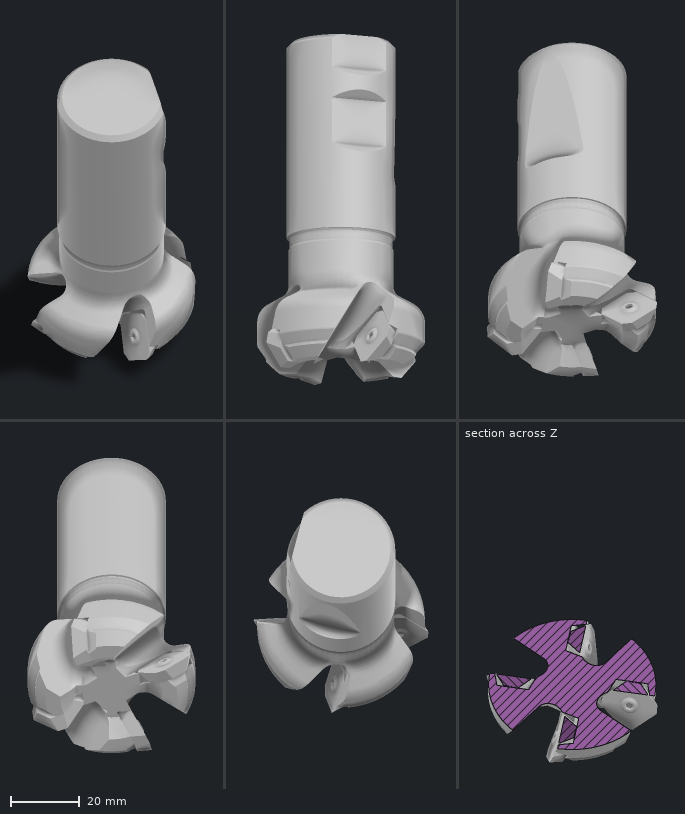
import cadquery as cq
import math

TOTAL_LENGTH = 98.0
CUTTER_COUNT = 4

SHANK_RADIUS = 15.9
SHANK_BOTTOM = 40.1
SHANK_CHAMFER = 1.5
FLAT_DISTANCE = 13.3
UPPER_FLAT_BOTTOM = 88.2
LOWER_FLAT_BOTTOM = 65.4
LOWER_FLAT_TOP = 78.8
NOTCH_SLOPE = 5.0
NOTCH_TOP = 93.3
NOTCH_ROOT = 58.5
NOTCH_RADIUS = 3.1

NECK_RADIUS = 15.3
GROOVE_DIAMETER = 30.1
GROOVE_RADIUS = GROOVE_DIAMETER / 2
GROOVE_TOP = 39.5
GROOVE_BOTTOM = 36.9
GROOVE_BEVEL = 0.6
NECK_BOTTOM = 26.0

HEAD_RADIUS = 24.5
SHOULDER_RADIUS = 5.0
SHOULDER_SLOPE = 30.0
HEAD_EDGE_TOP = 8.3
HEAD_EDGE_BOTTOM = 7.9
HEAD_EDGE_STEP = 0.1
BAND_RADIUS = 22.3
BAND_TOP = 5.0
BAND_BOTTOM = 4.1
HEAD_BOTTOM = 1.1
RECESS_TOP = 5.7

INSERT_SIDE = 13.7
INSERT_CORNER = 2.2
INSERT_THICKNESS = 3.9
SIDE_RELIEF = 18.0
CORNER_RELIEF = 32.0
HEAD_BASE_DIAMETER = 5.3
HEAD_TOP_DIAMETER = 3.5
HEAD_HEIGHT = 0.6
SOCKET_DIAMETER = 2.5
SOCKET_DEPTH = 1.2
SOCKET_SIDES = 6

INSERT_CENTRE = (17.2, 2.4, 7.7)
RADIAL_LEAN = 0.234
AXIAL_LEAN = 0.364

POCKET_GAP = 0.2
INNER_GAP = 0.8
INNER_WALL_TURN = 5.0
POCKET_CORNER = 1.5
ENTRY_OVERRUN = 4.9
ENTRY_HEIGHT = 4.9
RELIEF_STEP = 2.5
RELIEF_DEPTH = 2.7
FLUTE_ROOT_RADIUS = 4.0
FLUTE_OPENING = 30.0
FLUTE_TURN = 17.4
FLUTE_ROOT_OFFSET = 5.3
FLUTE_REACH = 39.2

face_normal = cq.Vector(RADIAL_LEAN, -1, AXIAL_LEAN)
edge_direction = cq.Vector(1, RADIAL_LEAN + AXIAL_LEAN, 1)
cutting_face = cq.Plane(origin=INSERT_CENTRE, xDir=edge_direction, normal=face_normal)


def sin(degrees):
    return math.sin(math.radians(degrees))


def cos(degrees):
    return math.cos(math.radians(degrees))


def tan(degrees):
    return math.tan(math.radians(degrees))


def make_blank():
    """Turned shank, neck and head as one revolved profile."""
    arc_rise = SHOULDER_RADIUS * cos(SHOULDER_SLOPE)
    arc_run = SHOULDER_RADIUS * (1 - sin(SHOULDER_SLOPE))
    cone_top_radius = NECK_RADIUS + arc_run
    cone_bottom_radius = HEAD_RADIUS - arc_run
    cone_top = NECK_BOTTOM - arc_rise
    cone_bottom = cone_top - (cone_bottom_radius - cone_top_radius) * tan(SHOULDER_SLOPE)
    head_top = cone_bottom - arc_rise
    mid_angle = SHOULDER_SLOPE + (90 - SHOULDER_SLOPE) / 2
    mid_rise = SHOULDER_RADIUS * cos(mid_angle)
    mid_run = SHOULDER_RADIUS * (1 - sin(mid_angle))
    return (
        cq.Workplane("XZ")
        .moveTo(0, HEAD_BOTTOM)
        .lineTo(BAND_RADIUS - (BAND_BOTTOM - HEAD_BOTTOM), HEAD_BOTTOM)
        .lineTo(BAND_RADIUS, BAND_BOTTOM)
        .lineTo(BAND_RADIUS, BAND_TOP)
        .lineTo(HEAD_RADIUS - HEAD_EDGE_STEP, HEAD_EDGE_BOTTOM)
        .lineTo(HEAD_RADIUS, HEAD_EDGE_TOP)
        .lineTo(HEAD_RADIUS, head_top)
        .threePointArc((HEAD_RADIUS - mid_run, head_top + mid_rise), (cone_bottom_radius, cone_bottom))
        .lineTo(cone_top_radius, cone_top)
        .threePointArc((NECK_RADIUS + mid_run, NECK_BOTTOM - mid_rise), (NECK_RADIUS, NECK_BOTTOM))
        .lineTo(NECK_RADIUS, GROOVE_BOTTOM - GROOVE_BEVEL)
        .lineTo(GROOVE_RADIUS, GROOVE_BOTTOM)
        .lineTo(GROOVE_RADIUS, GROOVE_TOP)
        .lineTo(NECK_RADIUS, SHANK_BOTTOM)
        .lineTo(SHANK_RADIUS, SHANK_BOTTOM)
        .lineTo(SHANK_RADIUS, TOTAL_LENGTH - SHANK_CHAMFER)
        .lineTo(SHANK_RADIUS - SHANK_CHAMFER, TOTAL_LENGTH)
        .lineTo(0, TOTAL_LENGTH)
        .close()
        .revolve(360, (0, 0, 0), (0, 1, 0))
    )


def make_flat_cutters():
    """Two flats on the +Y side whose ends run out at 45 degrees."""
    depth = 2 * (SHANK_RADIUS - FLAT_DISTANCE)
    outer = FLAT_DISTANCE + depth
    upper = [
        (FLAT_DISTANCE, TOTAL_LENGTH),
        (FLAT_DISTANCE, UPPER_FLAT_BOTTOM),
        (outer, UPPER_FLAT_BOTTOM - depth),
        (outer, TOTAL_LENGTH),
    ]
    lower = [
        (FLAT_DISTANCE, LOWER_FLAT_TOP),
        (FLAT_DISTANCE, LOWER_FLAT_BOTTOM),
        (outer, LOWER_FLAT_BOTTOM - depth),
        (outer, LOWER_FLAT_TOP + depth),
    ]
    profiles = cq.Workplane("YZ").polyline(upper).close().polyline(lower).close()
    return profiles.extrude(SHANK_RADIUS, both=True)


def make_notch_cutter():
    """Sloped flat on the -X side that ends in a rounded step."""
    root_x = -SHANK_RADIUS + (NOTCH_TOP - NOTCH_ROOT) * tan(NOTCH_SLOPE)
    centre_x = root_x - NOTCH_RADIUS * cos(NOTCH_SLOPE)
    centre_z = NOTCH_ROOT - NOTCH_RADIUS * sin(NOTCH_SLOPE)
    mid = (centre_x + NOTCH_RADIUS * cos(45), centre_z - NOTCH_RADIUS * sin(45))
    outer_x = -2 * SHANK_RADIUS
    top = NOTCH_TOP + (-SHANK_RADIUS - outer_x) / tan(NOTCH_SLOPE)
    return (
        cq.Workplane("XZ")
        .moveTo(outer_x, top)
        .lineTo(root_x, NOTCH_ROOT)
        .threePointArc(mid, (centre_x, centre_z - NOTCH_RADIUS))
        .lineTo(outer_x, centre_z - NOTCH_RADIUS)
        .close()
        .extrude(SHANK_RADIUS, both=True)
    )


def make_recess_cutter():
    """Conical recess in the bottom, in line with the inner sides of the inserts."""
    inner_edge = cutting_face.toWorldCoords((-INSERT_SIDE / 2, 0, 0))
    mouth_radius = inner_edge.x + inner_edge.z
    return (
        cq.Workplane("XZ")
        .polyline([(0, 0), (mouth_radius, 0), (mouth_radius - RECESS_TOP, RECESS_TOP), (0, RECESS_TOP)])
        .close()
        .revolve(360, (0, 0, 0), (0, 1, 0))
    )


def make_flute_cutter():
    """Wedge-shaped channel with a round root; one wall is the cutting face plane."""
    along = cutting_face.xDir * cos(FLUTE_TURN) + cutting_face.yDir * sin(FLUTE_TURN)
    outward = cutting_face.xDir * sin(FLUTE_TURN) - cutting_face.yDir * cos(FLUTE_TURN)
    section = cq.Plane(origin=INSERT_CENTRE, xDir=outward, normal=along * -1)
    root_u = -FLUTE_ROOT_OFFSET
    tangent = (
        root_u - FLUTE_ROOT_RADIUS * sin(FLUTE_OPENING),
        FLUTE_ROOT_RADIUS * (1 + cos(FLUTE_OPENING)),
    )
    mid = (
        root_u - FLUTE_ROOT_RADIUS * cos(FLUTE_OPENING / 2),
        FLUTE_ROOT_RADIUS * (1 - sin(FLUTE_OPENING / 2)),
    )
    far_w = tangent[1] + (FLUTE_REACH - tangent[0]) * tan(FLUTE_OPENING)
    return (
        cq.Workplane(section)
        .moveTo(root_u, 0)
        .lineTo(FLUTE_REACH, 0)
        .lineTo(FLUTE_REACH, far_w)
        .lineTo(*tangent)
        .threePointArc(mid, (root_u, 0))
        .close()
        .extrude(FLUTE_REACH, both=True)
    )


def make_pocket_part(inner_end, height):
    """Prism of the pocket outline; its inner wall turns slightly away from the insert."""
    outer = INSERT_SIDE / 2 + POCKET_GAP
    wall_middle = INSERT_SIDE / 2 + INNER_GAP
    wall_corner = wall_middle + outer * tan(INNER_WALL_TURN)
    wall_end = wall_middle + inner_end * tan(INNER_WALL_TURN)
    corner_edge = cutting_face.toWorldCoords((outer, wall_corner, height / 2))
    return (
        cq.Workplane(cutting_face)
        .polyline([(inner_end, -outer), (outer, -outer), (outer, wall_corner), (inner_end, wall_end)])
        .close()
        .extrude(height)
        .edges(cq.selectors.NearestToPointSelector(corner_edge.toTuple()))
        .fillet(POCKET_CORNER)
    )


def make_pocket_cutter():
    """Insert seat, and the entry above it that runs on into the bottom recess."""
    seat_end = -INSERT_SIDE / 2 - POCKET_GAP
    seat = make_pocket_part(seat_end, -INSERT_THICKNESS)
    entry = make_pocket_part(seat_end - ENTRY_OVERRUN, ENTRY_HEIGHT)
    return seat.union(entry)


def make_relief_cutter():
    """Clearance step on the holder, behind the seat and along the cutting edge."""
    return (
        cq.Workplane(cutting_face)
        .workplane(offset=-INSERT_THICKNESS)
        .center(0, RELIEF_STEP - INSERT_SIDE)
        .rect(INSERT_SIDE, INSERT_SIDE)
        .extrude(-RELIEF_DEPTH)
    )


def insert_outline(half_side, corner_leg):
    """Corner points of a square with cut corners."""
    points = []
    for turn in range(4):
        for x, y in ((half_side, -half_side + corner_leg), (half_side, half_side - corner_leg)):
            points.append((x * cos(90 * turn) - y * sin(90 * turn), x * sin(90 * turn) + y * cos(90 * turn)))
    return points


def make_insert():
    """Insert on the +X side: its outline shrinks from the cutting face to the seat."""
    half_side = INSERT_SIDE / 2
    side_shift = INSERT_THICKNESS * tan(SIDE_RELIEF)
    corner_shift = INSERT_THICKNESS * tan(CORNER_RELIEF)
    back_corner = INSERT_CORNER + math.sqrt(2) * corner_shift - 2 * side_shift
    plate = (
        cq.Workplane(cutting_face)
        .polyline(insert_outline(half_side, INSERT_CORNER))
        .close()
        .workplane(offset=-INSERT_THICKNESS)
        .polyline(insert_outline(half_side - side_shift, back_corner))
        .close()
        .loft(ruled=True, combine=True)
    )
    head = (
        cq.Workplane(cutting_face)
        .circle(HEAD_BASE_DIAMETER / 2)
        .workplane(offset=HEAD_HEIGHT)
        .circle(HEAD_TOP_DIAMETER / 2)
        .loft(ruled=True, combine=True)
    )
    head_top = cq.Workplane(cutting_face).workplane(offset=HEAD_HEIGHT)
    socket = head_top.polygon(SOCKET_SIDES, SOCKET_DIAMETER).extrude(-SOCKET_DEPTH)
    return plate.union(head).cut(socket)


def around_axis(shape):
    """Copies of a shape, evenly spaced around the cutter axis."""
    step = 360 / CUTTER_COUNT
    return [shape.rotate((0, 0, 0), (0, 0, 1), step * i) for i in range(CUTTER_COUNT)]


def make_holder():
    """Turned blank with its clamping faces, bottom recess, flutes and insert pockets."""
    holder = make_blank().cut(make_flat_cutters()).cut(make_notch_cutter()).cut(make_recess_cutter())
    for flute in around_axis(make_flute_cutter()):
        holder = holder.cut(flute)
    for pocket in around_axis(make_pocket_cutter()):
        holder = holder.cut(pocket)
    for relief in around_axis(make_relief_cutter()):
        holder = holder.cut(relief)
    return holder


holder = make_holder()
inserts = around_axis(make_insert())
result = cq.Compound.makeCompound([holder.val(), *[insert.val() for insert in inserts]])